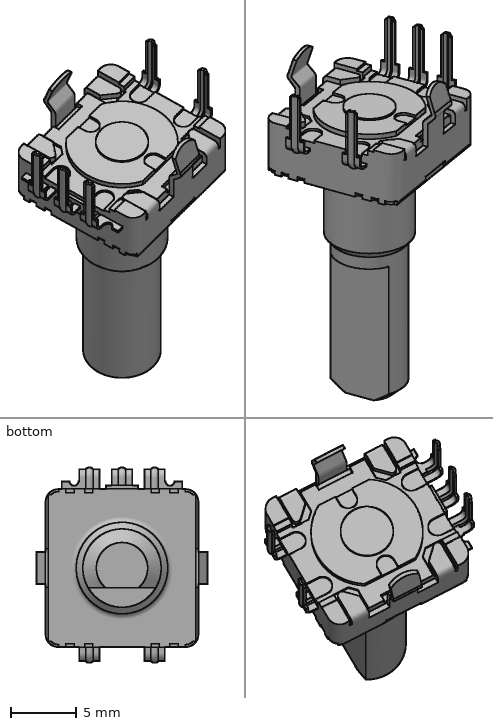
import cadquery as cq
import math

total_height = 28.0
body_x = 11.7
body_y = 12.1
body_corner_radius = 1.0
body_bottom_z = 20.02
cover_z = 23.9
corner_top_z = 24.5
half_x = body_x / 2
half_y = body_y / 2

shaft_radius = 3.0
shaft_tip_radius = 1.95
shaft_tip_height = 0.92
flat_offset = 1.5
flat_length = 11.95
bushing_radius = 3.5
bushing_length = 7.03
bushing_end_z = body_bottom_z - bushing_length
bushing_chamfer = 0.6
bushing_root_fillet = 0.42

disc_radius = 4.28
disc_half_width = 3.67
disc_top_z = 24.33
hub_radius = 2.02
hub_top_z = 24.47
disc_notch_width = 1.43
disc_notch_end_x = 2.3
disc_notch_depth = 0.2
disc_notch_floor_z = disc_top_z - disc_notch_depth

shallow_depth = 0.2
deep_depth = 0.35
shallow_floor_z = cover_z - shallow_depth
deep_floor_z = cover_z - deep_depth
corner_inner_y = 4.7
corner_step_x = 3.85
corner_foot_x = 3.33
corner_step_z = disc_top_z
edge_notch_x = 2.1
edge_notch_width = 1.45
edge_notch_end_y = 4.28
pocket_inner_x = 3.15
pocket_inner_y = 2.83
pocket_cut = 0.53
clip_top_z = 24.22
clip_inner_y = 3.0
clip_outer_y = 4.5
clip_shoulder_x = 4.35
clip_tip_radius = 0.35
clip_bend_radius = 0.42

frame_thickness = 0.42
window_floor_z = 23.1
lug_width = 2.45
lug_slot_width = 2.97
lug_slot_inner_x = 4.93
lug_reach_x = 6.55
lug_neck_z = 25.03
lug_knee_z = 25.93
lug_knee_half_height = 0.22
lug_knee_rounding = 0.08
lug_inside_radius = 0.15
lug_outside_radius = 0.45
lug_end_x = 5.7
lug_end_thickness = 0.35
lug_crown = 0.53
frame_edge_height = 0.35
frame_edge_inset = 0.2
frame_bottom_z = body_bottom_z + frame_edge_height
foot_recess_height = 0.62
foot_relief_x = 4.85
foot_relief_y = 5.6

bottom_notch_height = frame_edge_height
bottom_notch_width = 0.62
bottom_notch_depth = 0.28
bottom_notch_positions = [2.55, 3.98]

lead_pitch = 2.5
lead_front_y = 7.7
lead_back_y = 7.25
lead_thickness = 0.2
lead_rib = 0.15
lead_rib_width = 0.6
lead_groove_width = 0.45
lead_groove_depth = 0.17
lead_bottom_z = 22.95
lead_bend_radius = 0.62
lead_wide = 1.57
lead_narrow = 0.9
lead_wide_top_z = 24.15
lead_tip_chamfer = 0.22
lead_root_depth = 0.28

wing_half_width = 4.62
wing_reach = 0.6
wing_notch_x = 3.67
wing_notch_radius = 0.35
key_width = lug_width
key_height = 1.32
key_top_z = deep_floor_z
key_bottom_z = key_top_z - key_height
key_reach = 0.28


def block(x0, x1, y0, y1, z0, z1):
    """Axis-aligned box between two opposite corners."""
    return cq.Workplane("XY").box(x1 - x0, y1 - y0, z1 - z0, centered=False).translate((x0, y0, z0))


def prism(outline, z0, z1):
    """Closed XY outline extruded from z0 to z1."""
    return cq.Workplane("XY").workplane(offset=z0).polyline(outline).close().extrude(z1 - z0)


def four_ways(solid):
    """Solid joined with its mirror images about the YZ and XZ planes."""
    pair = solid.union(solid.mirror("YZ"))
    return pair.union(pair.mirror("XZ"))


def make_shaft():
    """Turned shaft and bushing with a flat milled along the +Y side of the shaft."""
    arc_mid = bushing_root_fillet * (1 - math.sqrt(0.5))
    profile = (
        cq.Workplane("XZ")
        .lineTo(shaft_tip_radius, 0)
        .lineTo(shaft_radius, shaft_tip_height)
        .lineTo(shaft_radius, bushing_end_z)
        .lineTo(bushing_radius, bushing_end_z + bushing_chamfer)
        .lineTo(bushing_radius, body_bottom_z - bushing_root_fillet)
        .threePointArc(
            (bushing_radius + arc_mid, body_bottom_z - arc_mid),
            (bushing_radius + bushing_root_fillet, body_bottom_z),
        )
        .lineTo(0, body_bottom_z)
        .close()
    )
    shaft = profile.revolve(360, (0, 0, 0), (0, 1, 0))
    flat = block(-half_x, half_x, flat_offset, half_y, 0, flat_length)
    return shaft.cut(flat)


def make_body():
    """Housing with stepped corner blocks, bevelled frame edges and relieved feet."""
    height = corner_top_z - body_bottom_z
    blank = (
        cq.Workplane("XY").workplane(offset=body_bottom_z)
        .rect(body_x, body_y).extrude(height)
        .edges("|Z").fillet(body_corner_radius)
    )

    blank = blank.cut(
        cq.Workplane("XY").workplane(offset=cover_z)
        .rect(body_x, 2 * corner_inner_y).extrude(height)
    )
    channel = (
        cq.Workplane("XZ")
        .polyline([
            (-corner_foot_x, cover_z),
            (-corner_foot_x, corner_step_z),
            (-corner_step_x, corner_step_z),
            (-corner_step_x, corner_top_z),
            (corner_step_x, corner_top_z),
            (corner_step_x, corner_step_z),
            (corner_foot_x, corner_step_z),
            (corner_foot_x, cover_z),
        ])
        .close().extrude(body_y, both=True)
    )
    body = blank.cut(channel)

    bevel = (
        cq.Workplane("XZ")
        .polyline([
            (half_x, frame_bottom_z),
            (half_x, body_bottom_z),
            (half_x - frame_edge_inset, body_bottom_z),
        ])
        .close().extrude(body_y, both=True)
    )
    recess = block(
        half_x - frame_edge_inset, half_x, -lug_slot_width / 2, lug_slot_width / 2,
        body_bottom_z, body_bottom_z + foot_recess_height,
    )
    for cutter in (bevel, recess):
        body = body.cut(cutter).cut(cutter.mirror("YZ"))

    relief = block(foot_relief_x, half_x, foot_relief_y, half_y, body_bottom_z, frame_bottom_z)
    foot = (
        cq.Workplane("XY").workplane(offset=body_bottom_z)
        .rect(body_x - 2 * frame_edge_inset, body_y - 2 * frame_edge_inset)
        .extrude(frame_bottom_z - body_bottom_z)
        .edges("|Z").fillet(body_corner_radius - frame_edge_inset)
    )
    body = body.cut(four_ways(relief.cut(foot)))

    for x in bottom_notch_positions:
        notch = block(
            x - bottom_notch_width / 2, x + bottom_notch_width / 2,
            half_y - bottom_notch_depth, half_y,
            body_bottom_z, body_bottom_z + bottom_notch_height,
        )
        body = body.cut(four_ways(notch))
    return body


def add_discs(body):
    """Large disc with two flats and two notches, and the central hub disc."""
    width = 2 * disc_half_width
    disc = cq.Workplane("XY").workplane(offset=cover_z).circle(disc_radius).extrude(disc_top_z - cover_z)
    disc = disc.intersect(
        cq.Workplane("XY").workplane(offset=cover_z).rect(width, width * 2).extrude(disc_top_z - cover_z)
    )
    slot_length = 2 * (disc_half_width - disc_notch_end_x)
    notches = (
        cq.Workplane("XY").workplane(offset=disc_notch_floor_z)
        .pushPoints([(-disc_half_width, 0), (disc_half_width, 0)])
        .slot2D(slot_length, disc_notch_width).extrude(disc_top_z - disc_notch_floor_z)
    )
    hub = cq.Workplane("XY").workplane(offset=cover_z).circle(hub_radius).extrude(hub_top_z - cover_z)
    return body.union(disc.cut(notches)).union(hub)


def cut_edge_notches(body):
    """Round-ended notches in the front and back edges of the cover."""
    slot_length = 2 * (half_y - edge_notch_end_y)
    notch = (
        cq.Workplane("XY").workplane(offset=shallow_floor_z)
        .center(edge_notch_x, half_y)
        .slot2D(slot_length, edge_notch_width, 90).extrude(cover_z - shallow_floor_z)
    )
    return body.cut(four_ways(notch))


def add_clips(body):
    """Pocket beside each corner block with a pointed frame clip lying in it."""
    pocket = prism(
        [
            (half_x, pocket_inner_y),
            (pocket_inner_x + pocket_cut, pocket_inner_y),
            (pocket_inner_x, pocket_inner_y + pocket_cut),
            (pocket_inner_x, corner_inner_y),
            (half_x, corner_inner_y),
        ],
        shallow_floor_z, cover_z,
    )
    tip_x = clip_shoulder_x - (clip_outer_y - clip_inner_y)
    clip = prism(
        [
            (half_x, clip_inner_y),
            (clip_shoulder_x, clip_inner_y),
            (tip_x, clip_outer_y),
            (half_x, clip_outer_y),
        ],
        shallow_floor_z, clip_top_z,
    )
    clip = clip.edges("|Z and <X").fillet(clip_tip_radius)
    clip = clip.edges("|Y and >X and >Z").fillet(clip_bend_radius)
    slit = block(
        half_x - frame_thickness, half_x, clip_outer_y, corner_inner_y, deep_floor_z, cover_z,
    )
    return body.cut(four_ways(pocket)).cut(four_ways(slit)).union(four_ways(clip))


def make_lug():
    """Bent solder lug rising from the +X frame side."""
    inner_x = half_x - frame_thickness
    neck_top_z = lug_neck_z + lug_end_thickness / 2
    knee_x = lug_reach_x - lug_knee_rounding
    profile = (
        cq.Workplane("XZ")
        .moveTo(inner_x, window_floor_z)
        .lineTo(half_x, window_floor_z)
        .lineTo(half_x, lug_neck_z)
        .lineTo(knee_x, lug_knee_z - lug_knee_half_height)
        .threePointArc((lug_reach_x, lug_knee_z), (knee_x, lug_knee_z + lug_knee_half_height))
        .lineTo(lug_end_x + lug_end_thickness / 2, total_height)
        .lineTo(lug_end_x - lug_end_thickness / 2, total_height)
        .lineTo(lug_reach_x - lug_end_thickness, lug_knee_z)
        .lineTo(inner_x, neck_top_z)
        .close().extrude(lug_width / 2, both=True)
    )
    bends = [
        ((half_x, 0, lug_neck_z), lug_inside_radius),
        ((inner_x, 0, neck_top_z), lug_outside_radius),
        ((lug_reach_x - lug_end_thickness, 0, lug_knee_z), lug_inside_radius),
    ]
    for corner, radius in bends:
        profile = profile.edges("|Y").edges(cq.NearestToPointSelector(corner)).fillet(radius)
    shoulder_z = total_height - lug_crown
    outline = (
        cq.Workplane("YZ")
        .moveTo(-lug_width / 2, window_floor_z)
        .lineTo(lug_width / 2, window_floor_z)
        .lineTo(lug_width / 2, shoulder_z)
        .threePointArc((0, total_height), (-lug_width / 2, shoulder_z))
        .close().extrude(body_x)
    )
    return profile.intersect(outline)


def add_frame_sides(body):
    """Windows and slots behind the frame sides, with one lug on each side."""
    inner_x = half_x - frame_thickness
    window = block(inner_x, half_x, -clip_inner_y, clip_inner_y, window_floor_z, cover_z)
    slot = block(
        lug_slot_inner_x, half_x, -lug_slot_width / 2, lug_slot_width / 2, deep_floor_z, cover_z,
    )
    lug = make_lug()
    for cutter in (window, slot):
        body = body.cut(cutter).cut(cutter.mirror("YZ"))
    return body.union(lug).union(lug.mirror("YZ"))


def make_lead(outer_y):
    """Lead bent from the body out along +Y and up: wide foot, narrow pin, outer rib and inner V groove."""
    root_y = half_y - lead_root_depth
    plate_y = outer_y - lead_rib
    top_z = lead_bottom_z + lead_thickness
    rib_bottom_z = lead_bottom_z - lead_rib
    section = (
        cq.Workplane("XZ", origin=(0, root_y, 0))
        .moveTo(-lead_wide / 2, lead_bottom_z)
        .lineTo(-lead_rib_width / 2, lead_bottom_z)
        .threePointArc((0, rib_bottom_z), (lead_rib_width / 2, lead_bottom_z))
        .lineTo(lead_wide / 2, lead_bottom_z)
        .lineTo(lead_wide / 2, top_z)
        .lineTo(lead_groove_width / 2, top_z)
        .lineTo(0, top_z - lead_groove_depth)
        .lineTo(-lead_groove_width / 2, top_z)
        .lineTo(-lead_wide / 2, top_z)
        .close()
    )
    bend_y = plate_y - lead_bend_radius
    bend_z = lead_bottom_z + lead_bend_radius
    bend_reach = lead_bend_radius * math.sqrt(0.5)
    path = (
        cq.Workplane("YZ")
        .moveTo(root_y, lead_bottom_z)
        .lineTo(bend_y, lead_bottom_z)
        .threePointArc((bend_y + bend_reach, bend_z - bend_reach), (plate_y, bend_z))
        .lineTo(plate_y, total_height)
    )
    strip = section.sweep(path)
    tip = lead_narrow / 2 - lead_tip_chamfer
    envelope = (
        cq.Workplane("XZ")
        .polyline([
            (-lead_wide / 2, rib_bottom_z),
            (lead_wide / 2, rib_bottom_z),
            (lead_wide / 2, lead_wide_top_z),
            (lead_narrow / 2, lead_wide_top_z),
            (lead_narrow / 2, total_height - lead_tip_chamfer),
            (tip, total_height),
            (-tip, total_height),
            (-lead_narrow / 2, total_height - lead_tip_chamfer),
            (-lead_narrow / 2, lead_wide_top_z),
            (-lead_wide / 2, lead_wide_top_z),
        ])
        .close().extrude(-outer_y)
    )
    return strip.intersect(envelope)


def add_leads(body):
    front_lead = make_lead(lead_front_y).mirror("XZ")
    back_lead = make_lead(lead_back_y)
    for x in (-lead_pitch, 0, lead_pitch):
        body = body.union(front_lead.translate((x, 0, 0)))
    for x in (-lead_pitch, lead_pitch):
        body = body.union(back_lead.translate((x, 0, 0)))
    return body


def add_front_details(body):
    """Scalloped wings beside the outer front leads and the central key plate."""
    wing_top_z = lead_bottom_z + lead_thickness
    front_y = -half_y - wing_reach
    wing = block(lead_pitch, wing_half_width, front_y, -half_y + lead_root_depth, lead_bottom_z, wing_top_z)
    scallop = (
        cq.Workplane("XY").workplane(offset=lead_bottom_z)
        .center(wing_notch_x, front_y).circle(wing_notch_radius).extrude(lead_thickness)
    )
    wing = wing.cut(scallop)
    key = block(
        -key_width / 2, key_width / 2, -half_y - key_reach, -half_y + lead_root_depth,
        key_bottom_z, key_top_z,
    )
    return body.union(wing).union(wing.mirror("YZ")).union(key)


body = make_body()
body = add_discs(body)
body = cut_edge_notches(body)
body = add_frame_sides(body)
body = add_clips(body)
body = add_leads(body)
body = add_front_details(body)
result = body.union(make_shaft())